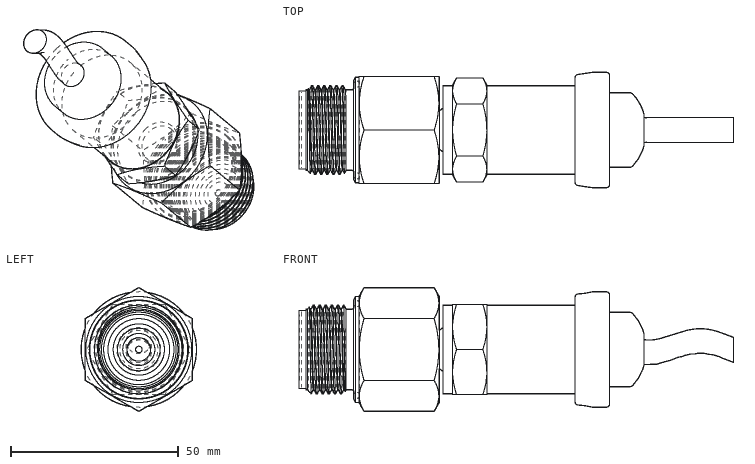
import cadquery as cq
import math


thread_start = 2.2
thread_full_end = 13.2
thread_end = 14.1
seal_face = 16.3
big_hex_start = 17.9
big_hex_end = 41.9
housing_start = 43.0
small_hex_start = 45.8
small_hex_end = 56.2
clamp_start = 82.4
clamp_end = 92.8
sleeve_edge = 99.2
dome_end = 103.0
cable_end = 129.7

membrane_diameter = 22.3
membrane_thickness = 0.8
pip_diameter = 2.0
pip_depth = 0.3
corrugation_count = 3
corrugation_first_radius = 3.5
corrugation_pitch = 2.9
corrugation_width = 1.3
corrugation_depth = 0.2

nose_diameter = 23.4
thread_root_diameter = 24.1
thread_diameter = 26.5
thread_pitch = 1.8
thread_first_crest = 1.7
thread_flank_angle = 27.5
thread_crest_width = 0.4
thread_overlap = 0.1
lead_in_length = 1.8
lead_in_diameter = 27.2

collar_fillet = 0.5
collar_diameter = 31.7
collar_chamfer_length = 0.5
collar_chamfer_depth = 1.0
ring_inner_diameter = 25.5
ring_section_diameter = 1.8

big_hex_turn = 30.0
small_hex_turn = 0.0
big_hex_corners = 37.0
big_hex_chamfer_diameter = collar_diameter
small_hex_corners = 31.1
small_hex_chamfer_diameter = 26.7
hex_chamfer_angle = 30.0

housing_diameter = 26.5
neck_front_diameter = 11.4
neck_rear_diameter = 13.1

clamp_diameter = 34.5
clamp_front_diameter = 33.0
clamp_taper_length = 5.2
clamp_front_fillet = 1.0
clamp_rear_fillet = 1.0

sleeve_diameter = 22.3
sleeve_edge_fillet = 1.2
dome_mid_x = 101.6
dome_mid_radius = 8.2
dome_flat_diameter = 9.5

cable_diameter = 7.5
cable_centres = [
    (dome_end, -0.8),
    (105.7, -0.84),
    (109.0, -0.1),
    (112.9, 1.2),
    (116.8, 2.2),
    (120.6, 2.5),
    (125.2, 1.5),
    (cable_end, -0.1),
]


def turned(points):
    """Solid of revolution about X from (x, radius) points."""
    return cq.Workplane("XY").polyline(points).close().revolve(360, (0, 0, 0), (1, 0, 0))


def rod(start, end, diameter):
    """Round bar along X between two stations."""
    return cq.Workplane("YZ", origin=(start, 0, 0)).circle(diameter / 2).extrude(end - start)


def chamfered_hexagon(start, end, corners, chamfer_diameter, turn):
    """Hexagonal bar along X with both ends turned down to a cone."""
    prism = cq.Workplane("YZ", origin=(start, 0, 0)).polygon(6, corners).extrude(end - start)
    prism = prism.rotate((0, 0, 0), (1, 0, 0), turn)
    small = chamfer_diameter / 2
    large = corners / 2
    run = (large - small) * math.tan(math.radians(hex_chamfer_angle))
    envelope = turned(
        [(start, 0), (start, small), (start + run, large), (end - run, large), (end, small), (end, 0)]
    )
    return prism.intersect(envelope)


def thread_ridge():
    """Right-handed helical ridge whose first crest is at -Z, with a conical lead-in and run-out."""
    inner = thread_root_diameter / 2 - thread_overlap
    outer = thread_diameter / 2
    half_crest = thread_crest_width / 2
    half_base = half_crest + (outer - inner) * math.tan(math.radians(thread_flank_angle))
    helix_length = thread_end - thread_first_crest + thread_pitch
    helix = cq.Wire.makeHelix(thread_pitch, helix_length, inner)
    ridge = (
        cq.Workplane("XZ")
        .polyline([(inner, -half_base), (outer, -half_crest), (outer, half_crest), (inner, half_base)])
        .close()
        .sweep(cq.Workplane(helix), isFrenet=True)
    )
    ridge = ridge.rotate((0, 0, 0), (0, 1, 0), 90).translate((thread_first_crest, 0, 0))
    lead_in_end = thread_start + lead_in_length
    envelope = turned(
        [
            (thread_start, 0),
            (thread_start, nose_diameter / 2),
            (lead_in_end, lead_in_diameter / 2),
            (thread_full_end, lead_in_diameter / 2),
            (thread_end, thread_root_diameter / 2),
            (thread_end, 0),
        ]
    )
    return ridge.intersect(envelope)


def make_fitting():
    """Threaded nose, seal collar and big hexagon in one piece."""
    root = thread_root_diameter / 2
    collar = collar_diameter / 2
    body = (
        cq.Workplane("XY")
        .moveTo(0, 0)
        .lineTo(0, nose_diameter / 2)
        .lineTo(thread_start, nose_diameter / 2)
        .lineTo(thread_start, root)
        .lineTo(seal_face - collar_fillet, root)
        .radiusArc((seal_face, root + collar_fillet), -collar_fillet)
        .lineTo(seal_face, collar - collar_chamfer_depth)
        .lineTo(seal_face + collar_chamfer_length, collar)
        .lineTo(big_hex_start, collar)
        .lineTo(big_hex_start, 0)
        .close()
        .revolve(360, (0, 0, 0), (1, 0, 0))
    )
    hexagon = chamfered_hexagon(
        big_hex_start, big_hex_end, big_hex_corners, big_hex_chamfer_diameter, big_hex_turn
    )
    membrane_seat = rod(0, membrane_thickness, membrane_diameter)
    ring_outer_diameter = ring_inner_diameter + 2 * ring_section_diameter
    ring_groove = rod(seal_face, seal_face + ring_section_diameter, ring_outer_diameter).cut(
        rod(seal_face, seal_face + ring_section_diameter, ring_inner_diameter)
    )
    return body.union(hexagon).cut(membrane_seat).cut(ring_groove).union(thread_ridge())


def make_membrane():
    """Disc with concentric round-bottomed corrugations and a central dimple."""
    disc = rod(0, membrane_thickness, membrane_diameter).cut(rod(0, pip_depth, pip_diameter))
    for index in range(corrugation_count):
        inner = corrugation_first_radius + index * corrugation_pitch
        groove = (
            cq.Workplane("XY")
            .moveTo(0, inner)
            .threePointArc(
                (corrugation_depth, inner + corrugation_width / 2), (0, inner + corrugation_width)
            )
            .close()
            .revolve(360, (0, 0, 0), (1, 0, 0))
        )
        disc = disc.cut(groove)
    return disc


def make_seal_ring():
    """O-ring lying in the collar groove, flush with the seal face."""
    centre_radius = (ring_inner_diameter + ring_section_diameter) / 2
    section_radius = ring_section_diameter / 2
    return (
        cq.Workplane("XY")
        .center(seal_face + section_radius, centre_radius)
        .circle(section_radius)
        .revolve(360, (0, -centre_radius, 0), (1, -centre_radius, 0))
    )


def make_housing():
    """Round housing with its hexagon and the conical neck that meets the fitting."""
    neck = turned(
        [
            (big_hex_end, 0),
            (big_hex_end, neck_front_diameter / 2),
            (housing_start, neck_rear_diameter / 2),
            (housing_start, 0),
        ]
    )
    hexagon = chamfered_hexagon(
        small_hex_start, small_hex_end, small_hex_corners, small_hex_chamfer_diameter, small_hex_turn
    )
    return rod(housing_start, clamp_start, housing_diameter).union(neck).union(hexagon)


def make_clamp_ring():
    """Collar that widens to a cylinder, with rounded rims."""
    taper_end = clamp_start + clamp_taper_length
    ring = turned(
        [
            (clamp_start, 0),
            (clamp_start, clamp_front_diameter / 2),
            (taper_end, clamp_diameter / 2),
            (clamp_end, clamp_diameter / 2),
            (clamp_end, 0),
        ]
    )
    ring = ring.faces("<X").edges().fillet(clamp_front_fillet)
    return ring.faces(">X").edges().fillet(clamp_rear_fillet)


def make_sleeve():
    """Rear sleeve closed by a dome with a small flat."""
    radius = sleeve_diameter / 2
    sleeve = (
        cq.Workplane("XY")
        .moveTo(clamp_end, 0)
        .lineTo(clamp_end, radius)
        .lineTo(sleeve_edge, radius)
        .threePointArc((dome_mid_x, dome_mid_radius), (dome_end, dome_flat_diameter / 2))
        .lineTo(dome_end, 0)
        .close()
        .revolve(360, (0, 0, 0), (1, 0, 0))
    )
    rim = cq.selectors.NearestToPointSelector((sleeve_edge, 0, 0))
    return sleeve.edges(rim).fillet(sleeve_edge_fillet)


def make_cable():
    """Wavy cable lofted through equal circles along its centre line."""
    sections = [
        cq.Wire.makeCircle(cable_diameter / 2, cq.Vector(x, 0, z), cq.Vector(1, 0, 0))
        for x, z in cable_centres
    ]
    return cq.Workplane(cq.Solid.makeLoft(sections))


fitting = make_fitting()
membrane = make_membrane()
seal_ring = make_seal_ring()
housing = make_housing()
clamp_ring = make_clamp_ring()
sleeve = make_sleeve()
cable = make_cable()

result = cq.Compound.makeCompound(
    [
        fitting.val(),
        membrane.val(),
        seal_ring.val(),
        housing.val(),
        clamp_ring.val(),
        sleeve.val(),
        cable.val(),
    ]
)